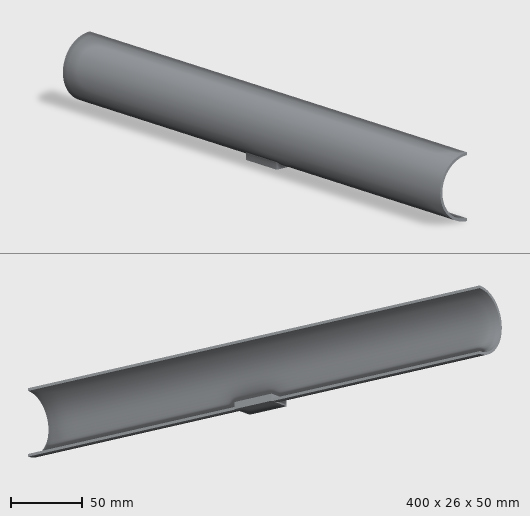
import cadquery as cq

length = 400.0
outer_diameter = 50.0
outer_radius = outer_diameter / 2
wall = 2.0
inner_radius = outer_radius - wall

block_length = 33.0
block_height = 5.0
block_front = 16.0
block_overhang = 1.0
block_width = block_front + block_overhang


def make_shell():
    """Half ring in the YZ plane, extruded symmetrically along X."""
    return (
        cq.Workplane("YZ")
        .moveTo(0, outer_radius)
        .threePointArc((-outer_radius, 0), (0, -outer_radius))
        .lineTo(0, -inner_radius)
        .threePointArc((-inner_radius, 0), (0, inner_radius))
        .close()
        .extrude(length / 2, both=True)
    )


def make_block():
    """Rectangular block that passes through the bottom of the shell wall."""
    return (
        cq.Workplane("XY")
        .box(block_length, block_width, block_height, centered=(True, False, False))
        .translate((0, -block_front, -outer_radius))
    )


result = make_shell().union(make_block())